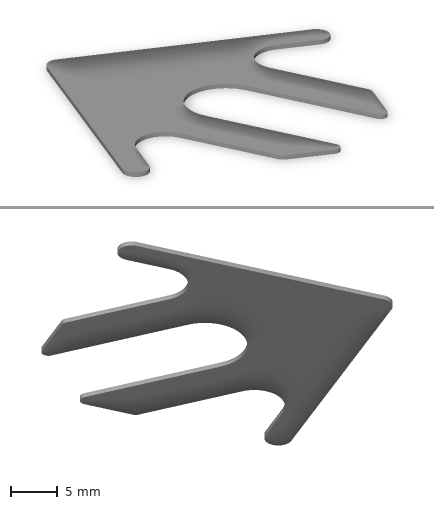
import cadquery as cq
import math

side = 31.5
thickness = 0.5
arm_width = 3.0
corner_radius = arm_width / 2
slot_radius = 4.55
slot_center = 15.75
finger_width = 5.48
notch_radius = 3.28
tip_radius = 0.75

inner_offset = slot_radius * math.sqrt(2)
outer_offset = inner_offset + finger_width * math.sqrt(2)

notch_x = arm_width + notch_radius
notch_y = notch_x + outer_offset + notch_radius * math.sqrt(2)


def mirrored(point):
    """Reflect a point across the diagonal y = x."""
    return (point[1], point[0])


def arc_point(center, radius, degrees):
    angle = math.radians(degrees)
    return (center[0] + radius * math.cos(angle), center[1] + radius * math.sin(angle))


notch = (notch_x, notch_y)
notch_start = arc_point(notch, notch_radius, 180)
notch_middle = arc_point(notch, notch_radius, 247.5)
notch_end = arc_point(notch, notch_radius, 315)

slot = (slot_center, slot_center)
slot_start = arc_point(slot, slot_radius, 135)
slot_bottom = arc_point(slot, slot_radius, 225)

arm_tip_y = side - corner_radius
arm_tip_start = (0, arm_tip_y)
arm_tip_top = (corner_radius, side)
arm_tip_end = (arm_width, arm_tip_y)

finger_outer_corner = (side - outer_offset, side)
finger_inner_corner = (side - inner_offset, side)

plate = (
    cq.Workplane("XY")
    .moveTo(0, 0)
    .lineTo(*arm_tip_start)
    .threePointArc(arm_tip_top, arm_tip_end)
    .lineTo(*notch_start)
    .threePointArc(notch_middle, notch_end)
    .lineTo(*finger_outer_corner)
    .lineTo(*finger_inner_corner)
    .lineTo(*slot_start)
    .threePointArc(slot_bottom, mirrored(slot_start))
    .lineTo(*mirrored(finger_inner_corner))
    .lineTo(*mirrored(finger_outer_corner))
    .lineTo(*mirrored(notch_end))
    .threePointArc(mirrored(notch_middle), mirrored(notch_start))
    .lineTo(*mirrored(arm_tip_end))
    .threePointArc(mirrored(arm_tip_top), mirrored(arm_tip_start))
    .close()
    .extrude(thickness)
)


def round_corner(body, point, radius):
    """Fillet the upright edge standing on the given outline point."""
    nearest = cq.selectors.NearestToPointSelector((point[0], point[1], thickness / 2))
    return body.edges("|Z").edges(nearest).fillet(radius)


plate = round_corner(plate, (0, 0), corner_radius)
for corner in (finger_outer_corner, finger_inner_corner):
    plate = round_corner(plate, corner, tip_radius)
    plate = round_corner(plate, mirrored(corner), tip_radius)

result = plate